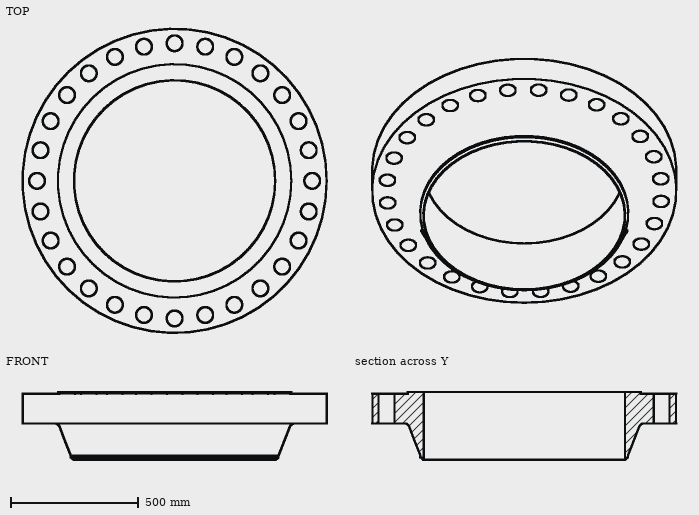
import cadquery as cq

flange_diameter = 1194.0
total_height = 266.0
bore_diameter = 788.0

face_diameter = 916.0
face_height = 7.0
flange_thickness = 117.0

bolt_count = 28
bolt_circle_diameter = 1079.0
bolt_hole_diameter = 61.0

hub_base_diameter = 915.0
hub_fillet = 19.0
weld_diameter = 817.0
weld_land = 7.0
weld_bevel_height = 10.0
weld_root_diameter = 793.0

flange_top = total_height - face_height
flange_bottom = flange_top - flange_thickness
weld_land_top = weld_bevel_height + weld_land


def revolved_body():
    """Revolve half of the cross-section about the Z axis."""
    profile = [
        (bore_diameter / 2, 0),
        (weld_root_diameter / 2, 0),
        (weld_diameter / 2, weld_bevel_height),
        (weld_diameter / 2, weld_land_top),
        (hub_base_diameter / 2, flange_bottom),
        (flange_diameter / 2, flange_bottom),
        (flange_diameter / 2, flange_top),
        (face_diameter / 2, flange_top),
        (face_diameter / 2, total_height),
        (bore_diameter / 2, total_height),
    ]
    return cq.Workplane("XZ").polyline(profile).close().revolve(360, (0, 0), (0, 1))


def fillet_hub(body):
    """Round the inside corner where the hub meets the flange."""
    reach = hub_base_diameter / 2 + hub_fillet / 2
    margin = 1.0
    corner = cq.selectors.BoxSelector(
        (-reach, -reach, flange_bottom - margin),
        (reach, reach, flange_bottom + margin),
        boundingbox=True,
    )
    return body.edges(corner).fillet(hub_fillet)


def bolt_holes():
    """Cutters for the through holes, with one on the X axis."""
    return (
        cq.Workplane("XY")
        .workplane(offset=flange_bottom)
        .polarArray(bolt_circle_diameter / 2, 0, 360, bolt_count)
        .circle(bolt_hole_diameter / 2)
        .extrude(flange_thickness)
    )


result = fillet_hub(revolved_body()).cut(bolt_holes())